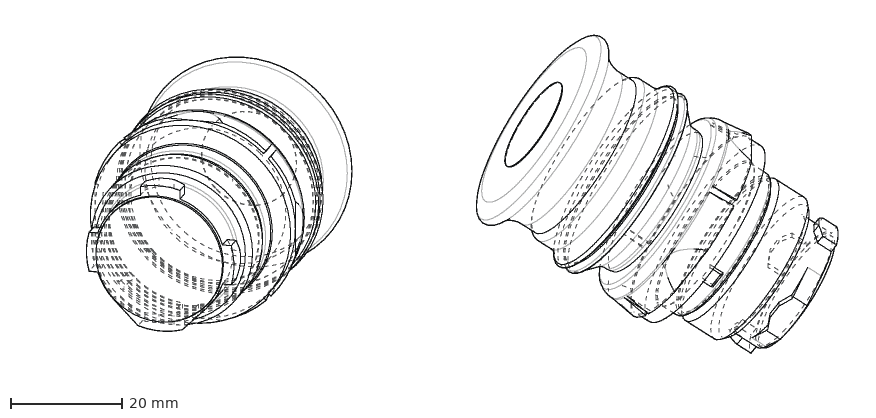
import cadquery as cq
import math

LENGTH = 58.0

TIP_RADIUS = 11.85
NOSE_RADIUS = 12.25
NOSE_FRONT = 0.65
NOSE_ROOT_FILLET = 0.45
LUG_RADIUS = 13.8
LUG_INNER_RADIUS = 11.0
LUG_HALF_WIDTH = 3.7
LUG_NARROW_HALF_WIDTH = 1.4
LUG_SHOULDER = 3.7
LUG_REAR = 4.9

BARREL_RADIUS = 15.1
BARREL_FRONT = 7.2
BARREL_REAR = 15.65
BARREL_CHAMFER = 1.05
GROOVE_RADIUS = BARREL_RADIUS - BARREL_CHAMFER
COLLAR_FRONT = 16.1
COLLAR_FRONT_RADIUS = 14.7
COLLAR_EDGE = 16.7
COLLAR_EDGE_ARC = 0.6
COLLAR_ROOT_FILLET = 0.25

KEY_HALF_WIDTH = 1.5
KEY_RADIUS = 16.25
KEY_FRONT = 17.35
KEY_CHAMFER = 0.45

RING_RADIUS = 18.75
RING_FRONT = 20.2
GRIP_FRONT = 23.2
GRIP_REAR = 28.25
GRIP_FRONT_RADIUS = 19.45
GRIP_SLOT_WIDTH = 1.3
CROWN_START = 28.6
CROWN_END = 30.5
CROWN_END_RADIUS = 18.05
CROWN_ARC = 2.95
RING_REAR = 31.1
RING_REAR_RADIUS = 17.35
RING_EDGE_ARC = 0.85

NECK_RADIUS = 14.85
NECK_FRONT_RADIUS = 14.7
NECK_FRONT = 31.85
NECK_REAR = 32.4
NECK_ARC = 2.9
FLARE_START = NECK_REAR + NECK_ARC * math.sin(math.radians(45))
FLARE_START_RADIUS = NECK_RADIUS + NECK_ARC * (1 - math.cos(math.radians(45)))
FLARE_LENGTH = 2.8
FLARE_END = FLARE_START + FLARE_LENGTH
FLARE_END_RADIUS = FLARE_START_RADIUS + FLARE_LENGTH
RIDGE_FLANK_RADIUS = 18.7
FRONT_RIDGE_PEAK = 37.6
FRONT_RIDGE_PEAK_RADIUS = 18.9
FRONT_RIDGE_REAR = 37.95
VEE_RADIUS = 17.6
VEE_FRONT = 38.55
VEE_REAR = 38.85
REAR_RIDGE_FRONT = 39.4
REAR_RIDGE_PEAK = 39.8
REAR_RIDGE_PEAK_RADIUS = 19.1
REAR_RIDGE_REAR = 40.25

BODY_RADIUS = 17.15
BODY_FRONT = 42.8
BODY_FRONT_ARC = 2.9
BODY_EDGE = 45.7
BODY_REAR = 46.85
BODY_EDGE_ARC = 1.2
WAIST_RADIUS = 16.25
WAIST_REAR = 49.9
WAIST_ARC = 5.8
LIP_DIAMETER = 39.6
LIP_RADIUS = LIP_DIAMETER / 2
LIP_ARC = 1.1
REAR_EDGE_ARC = 5.2
REAR_FACE = 57.8
REAR_DISC_RADIUS = 8.9

LIP_CENTRE_RADIUS = LIP_RADIUS - LIP_ARC
WAIST_CENTRE_RADIUS = WAIST_RADIUS + WAIST_ARC
WAIST_TURN = math.acos((WAIST_CENTRE_RADIUS - LIP_CENTRE_RADIUS) / (WAIST_ARC + LIP_ARC))
LIP_START = WAIST_REAR + WAIST_ARC * math.sin(WAIST_TURN)
LIP_START_RADIUS = WAIST_CENTRE_RADIUS - WAIST_ARC * math.cos(WAIST_TURN)
LIP_CENTRE = LIP_START + LIP_ARC * math.sin(WAIST_TURN)
REAR_EDGE_CENTRE = REAR_FACE - REAR_EDGE_ARC
LIP_TURN = math.asin((LIP_CENTRE - REAR_EDGE_CENTRE) / (REAR_EDGE_ARC - LIP_ARC))
LIP_END = LIP_CENTRE + LIP_ARC * math.sin(LIP_TURN)
LIP_END_RADIUS = LIP_CENTRE_RADIUS + LIP_ARC * math.cos(LIP_TURN)
REAR_FACE_RADIUS = LIP_END_RADIUS - REAR_EDGE_ARC * math.cos(LIP_TURN)


def tube(inner_radius, outer_radius, front, rear):
    """Ring about the Y axis between two Y positions."""
    return (
        cq.Workplane("XZ", origin=(0, front, 0))
        .circle(outer_radius)
        .circle(inner_radius)
        .extrude(front - rear)
    )


def turned_body():
    """Half section as (radius, Y) points, revolved about the Y axis."""
    section = (
        cq.Workplane("XY")
        .moveTo(0, 0)
        .lineTo(TIP_RADIUS, 0)
        .lineTo(TIP_RADIUS, NOSE_FRONT)
        .lineTo(NOSE_RADIUS, NOSE_FRONT)
        .lineTo(NOSE_RADIUS, BARREL_FRONT - NOSE_ROOT_FILLET)
        .radiusArc((NOSE_RADIUS + NOSE_ROOT_FILLET, BARREL_FRONT), NOSE_ROOT_FILLET)
        .lineTo(GROOVE_RADIUS, BARREL_FRONT)
        .lineTo(BARREL_RADIUS, BARREL_FRONT + BARREL_CHAMFER)
        .lineTo(BARREL_RADIUS, BARREL_REAR - BARREL_CHAMFER)
        .lineTo(GROOVE_RADIUS, BARREL_REAR)
        .lineTo(GROOVE_RADIUS, COLLAR_FRONT)
        .lineTo(COLLAR_FRONT_RADIUS, COLLAR_FRONT)
        .radiusArc((BARREL_RADIUS, COLLAR_EDGE), -COLLAR_EDGE_ARC)
        .lineTo(BARREL_RADIUS, RING_FRONT - COLLAR_ROOT_FILLET)
        .radiusArc((BARREL_RADIUS + COLLAR_ROOT_FILLET, RING_FRONT), COLLAR_ROOT_FILLET)
        .lineTo(RING_RADIUS, RING_FRONT)
        .lineTo(RING_RADIUS, CROWN_START)
        .radiusArc((CROWN_END_RADIUS, CROWN_END), -CROWN_ARC)
        .radiusArc((RING_REAR_RADIUS, RING_REAR), -RING_EDGE_ARC)
        .lineTo(NECK_FRONT_RADIUS, RING_REAR)
        .lineTo(NECK_RADIUS, NECK_FRONT)
        .lineTo(NECK_RADIUS, NECK_REAR)
        .radiusArc((FLARE_START_RADIUS, FLARE_START), NECK_ARC)
        .lineTo(FLARE_END_RADIUS, FLARE_END)
        .threePointArc(
            (FRONT_RIDGE_PEAK_RADIUS, FRONT_RIDGE_PEAK),
            (RIDGE_FLANK_RADIUS, FRONT_RIDGE_REAR),
        )
        .lineTo(VEE_RADIUS, VEE_FRONT)
        .lineTo(VEE_RADIUS, VEE_REAR)
        .lineTo(RIDGE_FLANK_RADIUS, REAR_RIDGE_FRONT)
        .threePointArc(
            (REAR_RIDGE_PEAK_RADIUS, REAR_RIDGE_PEAK),
            (RIDGE_FLANK_RADIUS, REAR_RIDGE_REAR),
        )
        .radiusArc((BODY_RADIUS, BODY_FRONT), BODY_FRONT_ARC)
        .lineTo(BODY_RADIUS, BODY_EDGE)
        .radiusArc((WAIST_RADIUS, BODY_REAR), -BODY_EDGE_ARC)
        .lineTo(WAIST_RADIUS, WAIST_REAR)
        .radiusArc((LIP_START_RADIUS, LIP_START), WAIST_ARC)
        .threePointArc((LIP_RADIUS, LIP_CENTRE), (LIP_END_RADIUS, LIP_END))
        .radiusArc((REAR_FACE_RADIUS, REAR_FACE), -REAR_EDGE_ARC)
        .lineTo(REAR_DISC_RADIUS, REAR_FACE)
        .lineTo(REAR_DISC_RADIUS, LENGTH)
        .lineTo(0, LENGTH)
        .close()
    )
    return section.revolve(360, (0, 0, 0), (0, 1, 0))


def grip():
    """Tapered band with four flats level with the ring and a slot between each pair of flats."""
    band = (
        cq.Workplane("XY")
        .polyline([
            (NOSE_RADIUS, GRIP_FRONT),
            (GRIP_FRONT_RADIUS, GRIP_FRONT),
            (RING_RADIUS, GRIP_REAR),
            (NOSE_RADIUS, GRIP_REAR),
        ])
        .close()
        .revolve(360, (0, 0, 0), (0, 1, 0))
    )
    flats = cq.Workplane("XY").box(2 * RING_RADIUS, 2 * LENGTH, 2 * RING_RADIUS)
    band = band.intersect(flats)
    slot = cq.Workplane("XY").box(2 * LENGTH, 2 * LENGTH, GRIP_SLOT_WIDTH)
    for angle in (45, 135):
        band = band.cut(slot.rotate((0, 0, 0), (0, 1, 0), angle))
    return band


def lugs():
    """Four bayonet lugs with tapered rear ends; the bottom one also has 45 degree flanks."""
    lug = (
        cq.Workplane("XY")
        .polyline([
            (-LUG_HALF_WIDTH, NOSE_FRONT),
            (LUG_HALF_WIDTH, NOSE_FRONT),
            (LUG_HALF_WIDTH, LUG_SHOULDER),
            (LUG_NARROW_HALF_WIDTH, LUG_REAR),
            (-LUG_NARROW_HALF_WIDTH, LUG_REAR),
            (-LUG_HALF_WIDTH, LUG_SHOULDER),
        ])
        .close()
        .extrude(LUG_RADIUS)
    )
    blanks = lug
    for angle in (90, 180, 270):
        blanks = blanks.union(lug.rotate((0, 0, 0), (0, 1, 0), angle))

    flank_point = NOSE_RADIUS * math.sqrt(2)
    wedge = (
        cq.Workplane("XZ", origin=(0, NOSE_FRONT, 0))
        .polyline([
            (-flank_point / 2, -flank_point / 2),
            (flank_point / 2, -flank_point / 2),
            (0, -flank_point),
        ])
        .close()
        .extrude(NOSE_FRONT - LUG_SHOULDER)
    )
    return blanks.union(wedge).intersect(tube(LUG_INNER_RADIUS, LUG_RADIUS, NOSE_FRONT, LUG_REAR))


def key():
    """Block under the collar, chamfered along its lower front edge."""
    block = (
        cq.Workplane("XY", origin=(0, 0, -KEY_RADIUS))
        .center(0, (KEY_FRONT + RING_FRONT) / 2)
        .rect(2 * KEY_HALF_WIDTH, RING_FRONT - KEY_FRONT)
        .extrude(KEY_RADIUS - NOSE_RADIUS)
    )
    return block.faces("<Y").edges("<Z").chamfer(KEY_CHAMFER)


result = turned_body().union(grip()).union(lugs()).union(key())